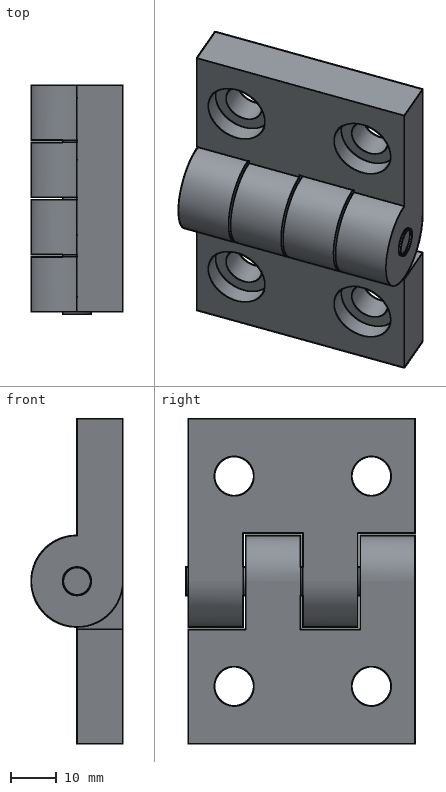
import cadquery as cq

height = 71.0
knuckle_radius = 10.0
knuckle_length = 12.0
gap = 0.5
knuckle_count = 4
pin_radius = 3.1
rim_inner_radius = 3.0
pin_projection = 0.5

screw_diameter = 8.5
counterbore_diameter = 13.5
counterbore_depth = 4.0
screw_edge_y = 10.0
screw_spacing_y = 29.95
screw_edge_z = 12.6

leaf_thickness = knuckle_radius
pitch = knuckle_length + gap
width = knuckle_count * pitch - gap
front_y = -width / 2
leaf_start = knuckle_radius + gap
leaf_length = height / 2 - leaf_start


def slab(z_start, z_length, y_start, y_length):
    """Full-thickness plate with its front face on the pin axis plane."""
    return cq.Workplane("XY").box(
        leaf_thickness, y_length, z_length, centered=False
    ).translate((0, y_start, z_start))


def y_cylinder(radius, y_start, length):
    """Cylinder on the pin axis, extending toward +Y."""
    return cq.Workplane("XZ", origin=(0, y_start, 0)).circle(radius).extrude(-length)


def knuckle(index, side):
    """Round knuckle joined by a flat web to the leaf on the given Z side."""
    y_start = front_y + index * pitch
    web_start = min(0, side * leaf_start)
    barrel = y_cylinder(knuckle_radius, y_start, knuckle_length)
    return barrel.union(slab(web_start, leaf_start, y_start, knuckle_length))


def leaf(side, first_knuckle):
    """One hinge leaf: plate, alternating knuckles and counterbored screw holes."""
    plate_start = leaf_start if side > 0 else -height / 2
    body = slab(plate_start, leaf_length, front_y, width)
    for index in range(first_knuckle, knuckle_count, 2):
        body = body.union(knuckle(index, side))

    screw_z = side * (height / 2 - screw_edge_z)
    first_screw_y = front_y + screw_edge_y
    for screw_y in (first_screw_y, first_screw_y + screw_spacing_y):
        seat = cq.Workplane("YZ", origin=(0, screw_y, screw_z))
        body = body.cut(seat.circle(screw_diameter / 2).extrude(leaf_thickness))
        body = body.cut(seat.circle(counterbore_diameter / 2).extrude(counterbore_depth))
    return body


upper_leaf = leaf(1, 0)
lower_leaf = leaf(-1, 1)
pin = y_cylinder(pin_radius, front_y - pin_projection, width + pin_projection)
pin_end_recess = y_cylinder(rim_inner_radius, front_y - pin_projection, pin_projection)
pin = pin.cut(pin_end_recess)

result = upper_leaf.union(lower_leaf).union(pin)